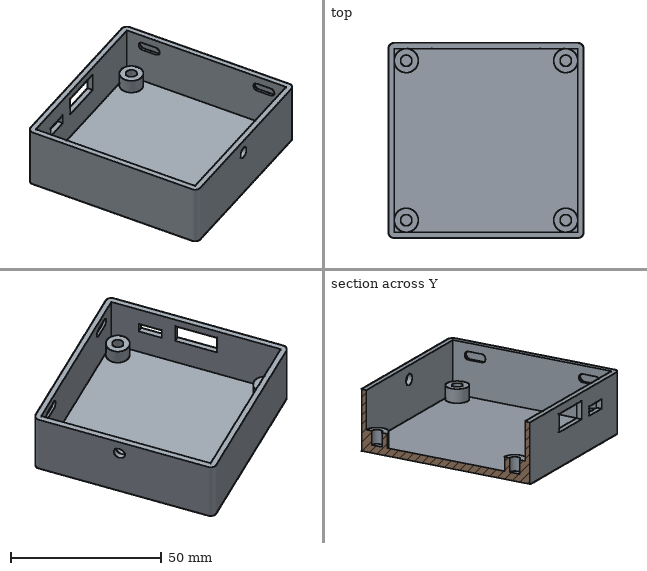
import cadquery as cq

side = 65.0
height = 22.0
wall = 2.0
floor = 3.0
corner_radius = 2.0

boss_diameter = 8.0
boss_height = 5.0
boss_hole_diameter = 3.8
boss_inset = 6.0

large_window_width = 15.0
large_window_height = 6.5
large_window_y = 0.0
large_window_drop = 3.0
small_window_width = 8.2
small_window_height = 3.3
small_window_y = -16.5
small_window_drop = 6.5

cable_hole_diameter = 3.95
cable_hole_y = -1.55
cable_hole_drop = 5.0

latch_length = 8.0
latch_height = 3.0
latch_depth = 1.0
latch_x = 22.0
latch_drop = 4.5

inner_side = side - 2 * wall
half_side = side / 2
half_inner = inner_side / 2


def make_shell():
    body = cq.Workplane("XY").rect(side, side).extrude(height)
    body = body.edges("|Z").fillet(corner_radius)
    cavity = cq.Workplane("XY", origin=(0, 0, floor)).rect(inner_side, inner_side).extrude(height - floor)
    return body.cut(cavity)


def make_bosses():
    spacing = side - 2 * boss_inset
    return (
        cq.Workplane("XY", origin=(0, 0, floor))
        .rect(spacing, spacing, forConstruction=True)
        .vertices()
        .circle(boss_diameter / 2)
        .circle(boss_hole_diameter / 2)
        .extrude(boss_height)
    )


def make_window(width, window_height, y, drop):
    center_z = height - drop - window_height / 2
    return cq.Workplane("XY").box(wall, width, window_height).translate((-half_side + wall / 2, y, center_z))


def make_cable_hole():
    start = (half_inner, cable_hole_y, height - cable_hole_drop)
    return cq.Workplane("YZ", origin=start).circle(cable_hole_diameter / 2).extrude(wall)


def make_latches():
    return (
        cq.Workplane("XZ", origin=(0, 0, height - latch_drop))
        .pushPoints([(-latch_x, 0), (latch_x, 0)])
        .slot2D(latch_length, latch_height)
        .extrude(half_inner + latch_depth, both=True)
    )


result = make_shell().union(make_bosses())
result = result.cut(make_window(large_window_width, large_window_height, large_window_y, large_window_drop))
result = result.cut(make_window(small_window_width, small_window_height, small_window_y, small_window_drop))
result = result.cut(make_cable_hole())
result = result.cut(make_latches())